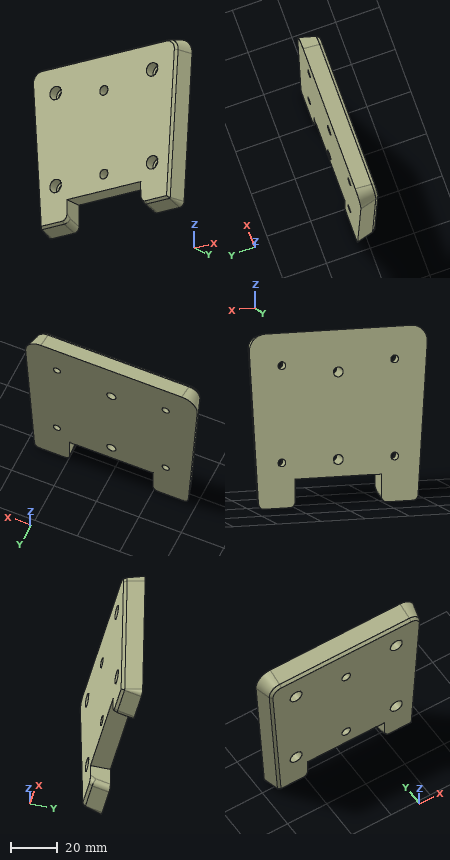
import cadquery as cq
import math

width = 80.95
height = 76.6
thickness = 8.9
side_lean = 3.6
top_radius = 7.3
bottom_radius = 2.4

wall_draft = 15.0
bevel_draft = 36.0
bevel_depth = 1.4

notch_width = 39.2
notch_height = 12.3
foot_radius = 2.4

lower_hole_z = 19.8
screw_spacing_x = 51.25
screw_spacing_z = 42.4
screw_diameter = 3.3
counterbore_diameter = 6.0
counterbore_depth = 4.85
center_spacing_z = 38.2
center_diameter = 4.3

lean = math.radians(side_lean)


def side_x(z):
    """Half width of the back outline's straight side at height z."""
    arc_center_x = width / 2 - top_radius
    arc_center_z = height - top_radius
    return arc_center_x + top_radius / math.cos(lean) + (z - arc_center_z) * math.tan(lean)


def tapered_plate(outset, draft, lower_radius):
    """Plate from the back outline grown by outset, narrowing toward the front."""
    top_z = height + outset
    bottom_z = -outset
    side_shift = outset / math.cos(lean)
    top_x = side_x(top_z) + side_shift
    bottom_x = side_x(bottom_z) + side_shift
    corners = [(-top_x, top_z), (top_x, top_z), (bottom_x, bottom_z), (-bottom_x, bottom_z)]
    face = cq.Sketch().polygon(corners + corners[:1])
    face = face.vertices(">Y").fillet(top_radius + outset).reset()
    if lower_radius > 0:
        face = face.vertices("<Y").fillet(lower_radius).reset()
    return cq.Workplane("XZ").placeSketch(face).extrude(thickness, taper=draft)


def cylinders(points, diameter, depth):
    """Cylinders running back from the front face."""
    front = cq.Workplane("XZ", origin=(0, -thickness, 0))
    return front.pushPoints(points).circle(diameter / 2).extrude(-depth)


bevel_start = thickness - bevel_depth
bevel_outset = bevel_start * (math.tan(math.radians(bevel_draft)) - math.tan(math.radians(wall_draft)))
wall_body = tapered_plate(0, wall_draft, bottom_radius)
bevel_body = tapered_plate(bevel_outset, bevel_draft, 0)
plate = wall_body.intersect(bevel_body)

notch = cq.Workplane("XY").box(notch_width, 2 * thickness, 2 * notch_height)
plate = plate.cut(notch)

edge_reach = 0.1
foot_corners = cq.selectors.BoxSelector(
    (-notch_width / 2 - edge_reach, -thickness + edge_reach, -edge_reach),
    (notch_width / 2 + edge_reach, -edge_reach, notch_height / 2),
)
plate = plate.edges(foot_corners).fillet(foot_radius)

screw_points = [
    (side * screw_spacing_x / 2, lower_hole_z + row * screw_spacing_z)
    for side in (-1, 1)
    for row in (0, 1)
]
center_points = [(0, lower_hole_z + row * center_spacing_z) for row in (0, 1)]
plate = plate.cut(cylinders(screw_points, screw_diameter, thickness))
plate = plate.cut(cylinders(screw_points, counterbore_diameter, counterbore_depth))
plate = plate.cut(cylinders(center_points, center_diameter, thickness))

result = plate